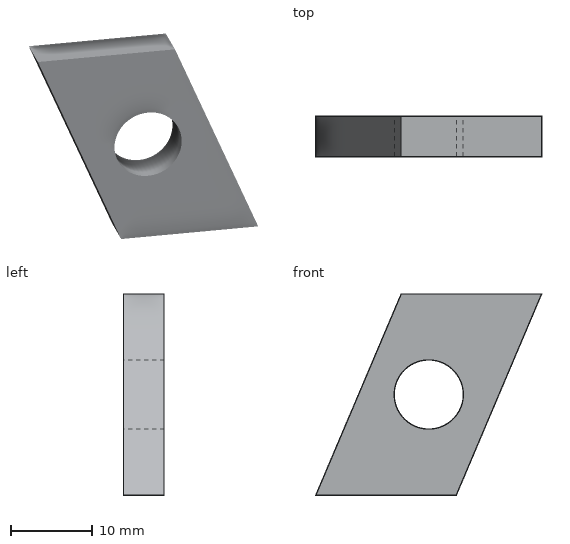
import cadquery as cq

length = 27.83
thickness = 5.0
height = 24.8

edge_length = 17.3
slant = length - edge_length

hole_diameter = 8.5

outline = [
    (-length / 2, -height / 2),
    (-length / 2 + edge_length, -height / 2),
    (length / 2, height / 2),
    (-length / 2 + slant, height / 2),
]

plate = cq.Workplane("XZ").polyline(outline).close().extrude(thickness / 2, both=True)
hole = cq.Workplane("XZ").circle(hole_diameter / 2).extrude(thickness / 2, both=True)

result = plate.cut(hole)